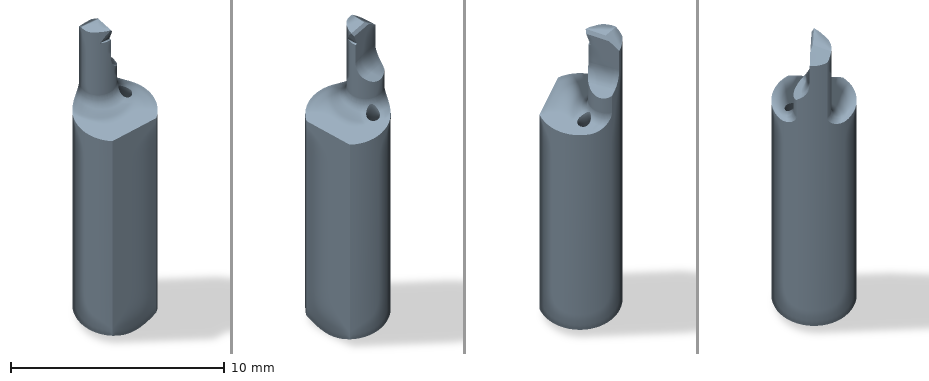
import cadquery as cq
import math

total_length = 19.0
shank_diameter = 4.0
shank_width = 3.55
shank_radius = shank_diameter / 2
flat_x = shank_width - shank_radius
shank_length = 13.78
end_chamfer = 0.5

neck_x = -1.35
neck_radius = 0.9
blend_radius = 0.8

hole_diameter = 0.65
hole_x = -0.59
hole_y = 1.03

relief_y = 0.1
relief_arc_radius = 1.33
relief_arc_top_z = 16.91
relief_angle = math.radians(45)

head_base_z = 18.13
head_base_x = -0.57
tip_x = -0.28
nose_chamfer_z = 18.22
nose_chamfer_top_x = -1.2
edge_y = -0.02
end_tilt = 5.0
end_relief_slope = 0.2
flank_corner_x = -0.42
flank_corner_y = -0.27
flank_end_x = -0.59
flank_end_y = -math.sqrt(neck_radius**2 - (flank_end_x - neck_x) ** 2)
rake_depth = 0.19

margin = 0.95


def make_shank():
    shank = cq.Workplane("XY").circle(shank_radius).extrude(shank_length)
    shank = shank.faces("<Z").chamfer(end_chamfer)
    flat_depth = 2 * shank_radius
    return shank.cut(
        cq.Workplane("XY").box(flat_depth, flat_depth, shank_length, centered=(False, True, False))
        .translate((flat_x, 0, 0))
    )


def make_neck():
    """Neck and its concave foot, revolved about the neck axis."""
    foot_radius = neck_radius + blend_radius
    diagonal = blend_radius * math.sqrt(0.5)
    arc_middle = (foot_radius - diagonal, shank_length + blend_radius - diagonal)
    neck = (
        cq.Workplane("XZ")
        .moveTo(0, shank_length - margin)
        .lineTo(neck_radius, shank_length - margin)
        .lineTo(foot_radius, shank_length)
        .threePointArc(arc_middle, (neck_radius, shank_length + blend_radius))
        .lineTo(neck_radius, head_base_z)
        .lineTo(0, head_base_z)
        .close()
        .revolve(360, (0, 0, 0), (0, 1, 0))
        .translate((neck_x, 0, 0))
    )
    return neck.intersect(cq.Workplane("XY").circle(shank_radius).extrude(total_length))


def make_head():
    """Cutting head: round at the back of the neck, with two flank facets at the tip."""
    back = cq.Workplane("XY").circle(shank_radius).extrude(total_length)
    back = back.intersect(cq.Workplane("XY").center(neck_x, 0).circle(neck_radius).extrude(total_length))
    overhang = (
        cq.Workplane("XY")
        .polyline([
            (neck_x, relief_y),
            (tip_x, relief_y),
            (tip_x, edge_y),
            (flank_corner_x, flank_corner_y),
            (flank_end_x, flank_end_y),
            (neck_x, flank_end_y),
        ])
        .close()
        .extrude(total_length)
    )
    left_half = cq.Workplane("XY").box(
        2 * shank_radius, 2 * shank_radius, total_length, centered=(False, True, False)
    ).translate((flank_end_x - 2 * shank_radius, 0, 0))
    side_profile = (
        cq.Workplane("XZ")
        .polyline([
            (-shank_radius, head_base_z),
            (head_base_x, head_base_z),
            (tip_x, total_length),
            (nose_chamfer_top_x, total_length),
            (-shank_radius, nose_chamfer_z),
        ])
        .close()
        .extrude(shank_radius, both=True)
    )
    return back.intersect(left_half).union(overhang).intersect(side_profile)


def make_back_relief():
    """Space behind the neck: vertical face, concave arc, then a 45 degree run-out."""
    arc_center_y = relief_y + relief_arc_radius

    def arc_point(angle):
        return (
            arc_center_y - relief_arc_radius * math.cos(angle),
            relief_arc_top_z - relief_arc_radius * math.sin(angle),
        )

    arc_end = arc_point(relief_angle)
    run_out = neck_radius + margin - arc_end[0]
    run_out_end = (arc_end[0] + run_out, arc_end[1] - run_out * math.tan(relief_angle))
    return (
        cq.Workplane("YZ")
        .moveTo(relief_y, total_length + margin)
        .lineTo(relief_y, relief_arc_top_z)
        .threePointArc(arc_point(relief_angle / 2), arc_end)
        .lineTo(*run_out_end)
        .lineTo(run_out_end[0], total_length + margin)
        .close()
        .extrude(shank_radius, both=True)
    )


def make_end_cutter():
    """Space above the end face and rake face, which meet along the sloping cutting edge."""
    relief_drop = end_relief_slope * (shank_radius + edge_y)
    cutter = (
        cq.Workplane("YZ", origin=(tip_x, edge_y, total_length))
        .polyline([
            (0, 0),
            (-shank_radius - edge_y, -relief_drop),
            (-shank_radius - edge_y, margin),
            (relief_y - edge_y, margin),
            (relief_y - edge_y, -rake_depth),
        ])
        .close()
        .extrude(shank_radius, both=True)
    )
    tip = (tip_x, edge_y, total_length)
    return cutter.rotate(tip, (tip_x, edge_y + 0.19, total_length), -end_tilt)


coolant_hole = cq.Workplane("XY").center(hole_x, hole_y).circle(hole_diameter / 2).extrude(total_length)

result = make_shank().union(make_neck()).union(make_head())
for cutter in (make_back_relief(), make_end_cutter(), coolant_hole):
    result = result.cut(cutter)